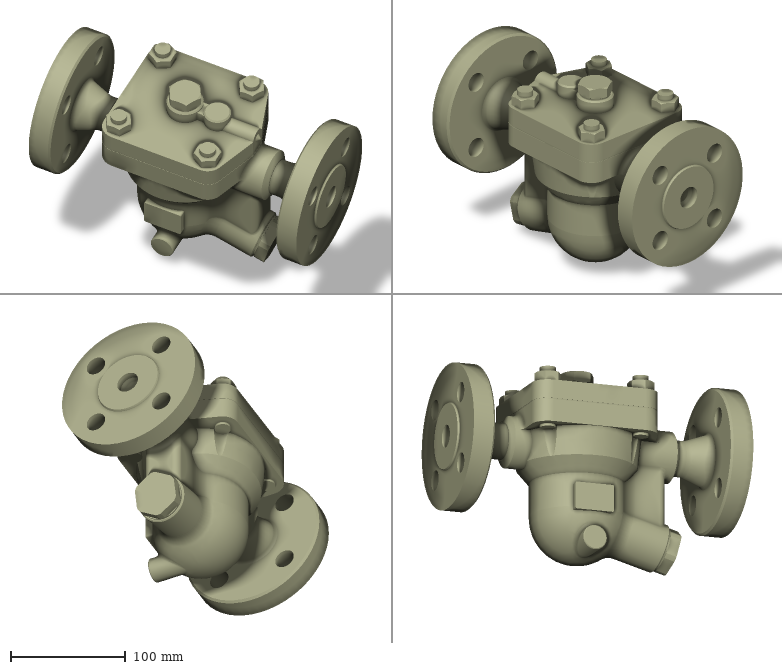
import cadquery as cq
import math


FLANGE_SPAN = 264.0
FLANGE_MID_X = 10.0
FLANGE_DIA = 130.0
FLANGE_THICKNESS = 20.3
FLANGE_EDGE_CHAMFER = 1.8
RAISED_FACE_DIA = 58.0
RAISED_FACE_FOOT_DIA = 60.0
RAISED_FACE_HEIGHT = 1.8
FLANGE_HOLE_DIA = 18.0
FLANGE_HOLE_CIRCLE = 90.0
BORE_DIA = 20.0
BORE_END_DIA = 15.0
BORE_DEPTH = 6.9
NECK_DIA = 32.0
NECK_HUB_LENGTH = 19.0
NECK_BLEND_LENGTH = 4.2
NECK_BLEND_RISE = 0.8
HUB_ROOT_FILLET = 2.5
HUB_ROOT_DIA = 45.5

BOSS_DIA = 46.0
BOSS_SPAN = 151.0
BOSS_CONE_LENGTH = 4.0
BOSS_CONE_END_DIA = 33.8
BOSS_FILLET = 4.0

BOLT_OFFSET = 43.3
CORNER_RADIUS = 14.5
COVER_RIGHT_X = 70.2
COVER_RIGHT_HALF_WIDTH = 8.7
COVER_TOP_Z = 44.0
GASKET_TOP_Z = 27.5
GASKET_THICKNESS = 1.0
GASKET_INSET = 0.3
BODY_FLANGE_BOTTOM_Z = 6.5

BEVEL_ANGLE = 30.0

STUD_DIA = 14.0
STUD_TOP_Z = 58.3
STUD_BOTTOM_Z = 4.2
NUT_FLATS = 21.0
NUT_HEIGHT = 9.2
STUD_CLEARANCE_DIA = 16.5

PLUG_BOSS_DIA = 32.5
PLUG_BOSS_TOP_Z = 56.0
PLUG_FLATS = 27.0
PLUG_GASKET_HEIGHT = 1.0
PLUG_TOP_Z = 67.0
VALVE_X = 31.5
VALVE_DIA = 24.0
VALVE_TOP_Z = 56.5
COVER_BOSS_CHAMFER = 1.3
BRIDGE_WIDTH = 13.5
BRIDGE_TOP_Z = 53.3
BRIDGE_FILLET = 5.0
CHANNEL_RADIUS = 8.7
CHANNEL_AXIS_Z = 41.5
CHANNEL_TIP_RADIUS = 3.7
CHANNEL_TIP_LENGTH = 3.7

BOWL_RADIUS = 42.0
BOWL_TOP_Z = -32.5
BOWL_CENTRE_Z = -62.5
SHOULDER_Z = -19.0
SHOULDER_RADIUS = 53.0
RIM_RADIUS = 56.5

PAD_WIDTH = 36.0
PAD_TOP_Z = -42.2
PAD_BOTTOM_Z = -66.5
PAD_FRONT_Y = -45.0
PAD_BACK_Y = -37.0
PAD_CORNER_RADIUS = 1.5
DRAIN_DIA = 22.0
DRAIN_Z = -91.0
DRAIN_FRONT_Y = -46.2
DRAIN_CHAMFER = 0.8
DRAIN_FILLET = 3.0

BRANCH_TILT = 15.0
BRANCH_DIA = 44.0
BRANCH_LENGTH = 79.7
BRANCH_END_CHAMFER = 1.0
BRANCH_BLEND_RADIUS = 16.0
CAP_GASKET_DIA = 40.0
CAP_GASKET_HEIGHT = 1.5
CAP_FLATS = 38.0
CAP_CORNER_DIA = 41.5
CAP_HEIGHT = 9.8

BLOCK_HALF_WIDTH = 17.0
BLOCK_RIGHT_X = 77.0
BLOCK_CORNER_RADIUS = 6.0
BLOCK_BLEND_RADIUS = 16.0
BLOCK_DEPTH_IN_BRANCH = 17.0
BLOCK_BOSS_FILLET = 5.0
BLOCK_BRANCH_FILLET = 2.0

EDGE_MARGIN = 0.3

BOLT_POINTS = [(sx * BOLT_OFFSET, sy * BOLT_OFFSET) for sx in (-1, 1) for sy in (-1, 1)]


def upright_cylinder(x, y, diameter, bottom_z, top_z):
    base = cq.Workplane("XY", origin=(x, y, bottom_z))
    return base.circle(diameter / 2).extrude(top_z - bottom_z)


def hexagon(flats, height):
    """Hexagonal prism on Z = 0 with two corners on the X axis."""
    return cq.Workplane("XY").polygon(6, flats / math.cos(math.pi / 6)).extrude(height)


def bevelled_hexagon(flats, height, bevel_bottom=False):
    """Hexagonal prism whose top, and if asked bottom, corners are turned off to a cone."""
    flat_radius = flats / 2
    corner_radius = flat_radius / math.cos(math.pi / 6)
    drop = (corner_radius - flat_radius) * math.tan(math.radians(BEVEL_ANGLE))
    foot_radius = flat_radius if bevel_bottom else corner_radius
    foot_z = drop if bevel_bottom else height / 2
    turned = (
        cq.Workplane("XZ")
        .lineTo(foot_radius, 0)
        .lineTo(corner_radius, foot_z)
        .lineTo(corner_radius, height - drop)
        .lineTo(flat_radius, height)
        .lineTo(0, height)
        .close()
        .revolve(360, (0, 0, 0), (0, 1, 0))
    )
    return hexagon(flats, height).intersect(turned)


def edges_in_box(shape, corner, opposite):
    return shape.edges(cq.selectors.BoxSelector(corner, opposite))



def pipe_end():
    """Flange and weld neck at the +X end, with X = 0 midway between the two flanges."""
    face_x = FLANGE_SPAN / 2
    front_x = face_x - RAISED_FACE_HEIGHT
    back_x = front_x - FLANGE_THICKNESS
    hub_end_x = back_x - NECK_HUB_LENGTH
    boss_end_x = BOSS_SPAN / 2
    neck_radius = NECK_DIA / 2
    hub_radius = HUB_ROOT_DIA / 2
    flange_radius = FLANGE_DIA / 2
    body = (
        cq.Workplane("XY")
        .moveTo(boss_end_x, 0)
        .lineTo(boss_end_x, neck_radius)
        .lineTo(hub_end_x - NECK_BLEND_LENGTH, neck_radius)
        .tangentArcPoint((hub_end_x, neck_radius + NECK_BLEND_RISE), relative=False)
        .lineTo(back_x - HUB_ROOT_FILLET, hub_radius)
        .tangentArcPoint((back_x, hub_radius + HUB_ROOT_FILLET), relative=False)
        .lineTo(back_x, flange_radius - FLANGE_EDGE_CHAMFER)
        .lineTo(back_x + FLANGE_EDGE_CHAMFER, flange_radius)
        .lineTo(front_x, flange_radius)
        .lineTo(front_x, RAISED_FACE_FOOT_DIA / 2)
        .lineTo(face_x, RAISED_FACE_DIA / 2)
        .lineTo(face_x, 0)
        .close()
        .revolve(360, (0, 0, 0), (1, 0, 0))
    )
    hole_pitch = FLANGE_HOLE_CIRCLE / math.sqrt(2)
    holes = (
        cq.Workplane("YZ", origin=(back_x, 0, 0))
        .rect(hole_pitch, hole_pitch, forConstruction=True)
        .vertices().circle(FLANGE_HOLE_DIA / 2).extrude(FLANGE_THICKNESS)
    )
    bore_cone_length = (BORE_DIA - BORE_END_DIA) / 2
    bore = (
        cq.Workplane("XY")
        .moveTo(face_x, 0)
        .lineTo(face_x, BORE_DIA / 2)
        .lineTo(face_x - BORE_DEPTH, BORE_DIA / 2)
        .lineTo(face_x - BORE_DEPTH - bore_cone_length, BORE_END_DIA / 2)
        .lineTo(face_x - BORE_DEPTH - bore_cone_length, 0)
        .close()
        .revolve(360, (0, 0, 0), (1, 0, 0))
    )
    return body.cut(holes).cut(bore)


def pipe_ends():
    right = pipe_end()
    return right.union(right.mirror("YZ")).translate((FLANGE_MID_X, 0, 0))


def pipe_boss():
    """Both pipe bosses as one bar through the body."""
    cylinder_end_x = BOSS_SPAN / 2
    tip_x = cylinder_end_x + BOSS_CONE_LENGTH
    return (
        cq.Workplane("XY")
        .moveTo(-tip_x, 0)
        .lineTo(-tip_x, BOSS_CONE_END_DIA / 2)
        .lineTo(-cylinder_end_x, BOSS_DIA / 2)
        .lineTo(cylinder_end_x, BOSS_DIA / 2)
        .lineTo(tip_x, BOSS_CONE_END_DIA / 2)
        .lineTo(tip_x, 0)
        .close()
        .revolve(360, (0, 0, 0), (1, 0, 0))
        .translate((FLANGE_MID_X, 0, 0))
    )



def flange_plate(bottom_z, top_z, inset=0.0):
    """Plate with round corners about the bolts and a side tapering to the right."""
    radius = CORNER_RADIUS - inset
    outer = BOLT_OFFSET + radius
    right_x = COVER_RIGHT_X - inset
    dx = COVER_RIGHT_X - BOLT_OFFSET
    dy = COVER_RIGHT_HALF_WIDTH - BOLT_OFFSET
    normal = math.atan2(dy, dx) + math.acos(CORNER_RADIUS / math.hypot(dx, dy))
    slant_x = BOLT_OFFSET + radius * math.cos(normal)
    slant_y = BOLT_OFFSET + radius * math.sin(normal)
    middle = (normal + math.pi / 2) / 2
    arc_x = BOLT_OFFSET + radius * math.cos(middle)
    arc_y = BOLT_OFFSET + radius * math.sin(middle)
    right_y = slant_y - (right_x - slant_x) / math.tan(normal)
    diagonal = BOLT_OFFSET + radius * math.sqrt(0.5)
    return (
        cq.Workplane("XY", origin=(0, 0, bottom_z))
        .moveTo(-BOLT_OFFSET, -outer)
        .lineTo(BOLT_OFFSET, -outer)
        .threePointArc((arc_x, -arc_y), (slant_x, -slant_y))
        .lineTo(right_x, -right_y)
        .lineTo(right_x, right_y)
        .lineTo(slant_x, slant_y)
        .threePointArc((arc_x, arc_y), (BOLT_OFFSET, outer))
        .lineTo(-BOLT_OFFSET, outer)
        .threePointArc((-diagonal, diagonal), (-outer, BOLT_OFFSET))
        .lineTo(-outer, -BOLT_OFFSET)
        .threePointArc((-diagonal, -diagonal), (-BOLT_OFFSET, -outer))
        .close()
        .extrude(top_z - bottom_z)
    )


def studs_and_nuts():
    parts = cq.Workplane("XY")
    nut = bevelled_hexagon(NUT_FLATS, NUT_HEIGHT)
    for x, y in BOLT_POINTS:
        turn = 90 if x * y < 0 else 0
        parts = parts.union(nut.rotate((0, 0, 0), (0, 0, 1), turn).translate((x, y, COVER_TOP_Z)))
        parts = parts.union(upright_cylinder(x, y, STUD_DIA, STUD_BOTTOM_Z, STUD_TOP_Z))
    return parts


def cover_boss(x, diameter, top_z):
    boss = upright_cylinder(x, 0, diameter, COVER_TOP_Z, top_z)
    return boss.faces(">Z").edges().chamfer(COVER_BOSS_CHAMFER)


def vent_plug():
    gasket_top_z = PLUG_BOSS_TOP_Z + PLUG_GASKET_HEIGHT
    gasket = upright_cylinder(0, 0, PLUG_FLATS, PLUG_BOSS_TOP_Z, gasket_top_z)
    head = bevelled_hexagon(PLUG_FLATS, PLUG_TOP_Z - gasket_top_z, bevel_bottom=True)
    return gasket.union(head.translate((0, 0, gasket_top_z)))


def valve_and_bridge():
    """Valve boss with a low bridge to the plug boss, filleted where the two meet."""
    bridge = (
        cq.Workplane("XY")
        .box(VALVE_X, BRIDGE_WIDTH, BRIDGE_TOP_Z - COVER_TOP_Z, centered=(False, True, False))
        .translate((0, 0, COVER_TOP_Z))
    )
    joined = bridge.union(cover_boss(VALVE_X, VALVE_DIA, VALVE_TOP_Z))
    corners = edges_in_box(
        joined,
        (EDGE_MARGIN, -BRIDGE_WIDTH, COVER_TOP_Z + EDGE_MARGIN),
        (VALVE_X, BRIDGE_WIDTH, BRIDGE_TOP_Z - EDGE_MARGIN),
    ).edges("|Z")
    return corners.fillet(BRIDGE_FILLET)


def valve_channel():
    """Channel from the valve to the right side of the cover, with a small end cone."""
    channel = (
        cq.Workplane("YZ", origin=(VALVE_X, 0, CHANNEL_AXIS_Z))
        .circle(CHANNEL_RADIUS).extrude(COVER_RIGHT_X - VALVE_X)
    )
    tip = cq.Solid.makeCone(
        CHANNEL_TIP_RADIUS, 0, CHANNEL_TIP_LENGTH,
        cq.Vector(COVER_RIGHT_X, 0, CHANNEL_AXIS_Z), cq.Vector(1, 0, 0),
    )
    return channel.union(cq.Workplane(tip))



def bowl():
    """Round bowl with a flared rim that is cut back around the stud ends."""
    shell = (
        cq.Workplane("XZ")
        .moveTo(0, BODY_FLANGE_BOTTOM_Z)
        .lineTo(RIM_RADIUS, BODY_FLANGE_BOTTOM_Z)
        .lineTo(SHOULDER_RADIUS, SHOULDER_Z)
        .lineTo(BOWL_RADIUS, BOWL_TOP_Z)
        .lineTo(BOWL_RADIUS, BOWL_CENTRE_Z)
        .radiusArc((0, BOWL_CENTRE_Z - BOWL_RADIUS), BOWL_RADIUS)
        .close()
        .revolve(360, (0, 0, 0), (0, 1, 0))
    )
    for x, y in BOLT_POINTS:
        shell = shell.cut(upright_cylinder(x, y, STUD_CLEARANCE_DIA, BOWL_TOP_Z, BODY_FLANGE_BOTTOM_Z))
    return shell


def name_plate_pad():
    height = PAD_TOP_Z - PAD_BOTTOM_Z
    return (
        cq.Workplane("XY")
        .box(PAD_WIDTH, PAD_BACK_Y - PAD_FRONT_Y, height)
        .edges("|Y").fillet(PAD_CORNER_RADIUS)
        .translate((0, (PAD_BACK_Y + PAD_FRONT_Y) / 2, PAD_BOTTOM_Z + height / 2))
    )


def drain_boss():
    return (
        cq.Workplane("XZ", origin=(0, 0, DRAIN_Z))
        .circle(DRAIN_DIA / 2).extrude(-DRAIN_FRONT_Y)
        .faces("<Y").edges().chamfer(DRAIN_CHAMFER)
    )



def tilt_onto_branch(shape):
    """Move a shape built along +X at the origin onto the branch axis."""
    return shape.rotate((0, 0, 0), (0, 1, 0), BRANCH_TILT).translate((0, 0, BOWL_CENTRE_Z))


def branch():
    """Branch barrel that flows into the round bowl bottom through a concave blend."""
    radius = BRANCH_DIA / 2
    blend = BRANCH_BLEND_RADIUS
    barrel_start = math.sqrt((BOWL_RADIUS + blend) ** 2 - (radius + blend) ** 2)
    bowl_angle = math.atan2(radius + blend, barrel_start)
    contact = (BOWL_RADIUS * math.cos(bowl_angle), BOWL_RADIUS * math.sin(bowl_angle))
    barrel = (
        cq.Workplane("XY")
        .lineTo(*contact)
        .radiusArc((barrel_start, radius), -blend)
        .lineTo(BRANCH_LENGTH - BRANCH_END_CHAMFER, radius)
        .lineTo(BRANCH_LENGTH, radius - BRANCH_END_CHAMFER)
        .lineTo(BRANCH_LENGTH, 0)
        .close()
        .revolve(360, (0, 0, 0), (1, 0, 0))
    )
    return tilt_onto_branch(barrel)


def branch_cap():
    gasket = (
        cq.Workplane("YZ", origin=(BRANCH_LENGTH, 0, 0))
        .circle(CAP_GASKET_DIA / 2).extrude(CAP_GASKET_HEIGHT)
    )
    turned = cq.Workplane("XY").circle(CAP_CORNER_DIA / 2).extrude(CAP_HEIGHT)
    head = hexagon(CAP_FLATS, CAP_HEIGHT).intersect(turned)
    head = head.rotate((0, 0, 0), (0, 1, 0), 90)
    head = head.translate((BRANCH_LENGTH + CAP_GASKET_HEIGHT, 0, 0))
    return tilt_onto_branch(gasket.union(head))


def passage_block():
    """Upright block blended into the bowl wall, standing on the branch."""
    blend = BLOCK_BLEND_RADIUS
    blend_centre_y = BLOCK_HALF_WIDTH + blend
    flat_start_x = math.sqrt((BOWL_RADIUS + blend) ** 2 - blend_centre_y ** 2)
    share = BOWL_RADIUS / (BOWL_RADIUS + blend)
    wall_x = flat_start_x * share
    wall_y = blend_centre_y * share
    corner = BLOCK_CORNER_RADIUS
    block = (
        cq.Workplane("XY")
        .moveTo(wall_x, -wall_y)
        .radiusArc((flat_start_x, -BLOCK_HALF_WIDTH), blend)
        .lineTo(BLOCK_RIGHT_X - corner, -BLOCK_HALF_WIDTH)
        .radiusArc((BLOCK_RIGHT_X, -BLOCK_HALF_WIDTH + corner), -corner)
        .lineTo(BLOCK_RIGHT_X, BLOCK_HALF_WIDTH - corner)
        .radiusArc((BLOCK_RIGHT_X - corner, BLOCK_HALF_WIDTH), -corner)
        .lineTo(flat_start_x, BLOCK_HALF_WIDTH)
        .radiusArc((wall_x, wall_y), blend)
        .lineTo(0, wall_y)
        .lineTo(0, -wall_y)
        .close()
        .extrude(2 * BOWL_CENTRE_Z)
    )
    slope = math.tan(math.radians(BRANCH_TILT))
    foot_z = BOWL_CENTRE_Z + BRANCH_DIA / 2 - BLOCK_DEPTH_IN_BRANCH
    side = (
        cq.Workplane("XZ")
        .lineTo(0, foot_z)
        .lineTo(BLOCK_RIGHT_X, foot_z - BLOCK_RIGHT_X * slope)
        .lineTo(BLOCK_RIGHT_X, 0)
        .close()
        .extrude(BOWL_RADIUS, both=True)
    )
    return block.intersect(side)


def block_head():
    """Straight upper part of the block, filleted into the pipe boss above it."""
    start_x = BOWL_RADIUS / 2
    length = BLOCK_RIGHT_X - start_x
    block = (
        cq.Workplane("XY")
        .box(length, 2 * BLOCK_HALF_WIDTH, -BOWL_TOP_Z, centered=(False, True, False))
        .edges("|Z and >X").fillet(BLOCK_CORNER_RADIUS)
        .translate((start_x, 0, BOWL_TOP_Z))
    )
    head = block.union(pipe_boss())
    boss_radius = BOSS_DIA / 2
    rim = edges_in_box(
        head,
        (start_x + EDGE_MARGIN, -boss_radius, -boss_radius - EDGE_MARGIN),
        (BLOCK_RIGHT_X + EDGE_MARGIN, boss_radius, -boss_radius / 2),
    )
    return rim.fillet(BLOCK_BOSS_FILLET)


def branch_with_block():
    """Branch with the block filleted onto the top of its barrel."""
    joined = branch().union(passage_block())
    slope = math.tan(math.radians(BRANCH_TILT))
    rim = edges_in_box(
        joined,
        (BOWL_RADIUS + BLOCK_CORNER_RADIUS, -BRANCH_DIA / 2, BOWL_CENTRE_Z - BOWL_RADIUS * slope),
        (BLOCK_RIGHT_X + EDGE_MARGIN, BRANCH_DIA / 2, BOWL_CENTRE_Z + EDGE_MARGIN),
    )
    return rim.fillet(BLOCK_BRANCH_FILLET)



def flange_with_pipe_boss(top_z):
    """Body flange with the pipe boss filleted into its left and right sides."""
    joined = flange_plate(BODY_FLANGE_BOTTOM_Z, top_z).union(pipe_boss())
    left_x = -BOLT_OFFSET - CORNER_RADIUS
    side_ranges = [
        (left_x - EDGE_MARGIN, left_x + EDGE_MARGIN),
        (COVER_RIGHT_X - CORNER_RADIUS, COVER_RIGHT_X + EDGE_MARGIN),
    ]
    for start_x, end_x in side_ranges:
        joined = edges_in_box(
            joined,
            (start_x, -BOSS_DIA / 2, BODY_FLANGE_BOTTOM_Z + EDGE_MARGIN),
            (end_x, BOSS_DIA / 2, BOSS_DIA / 2),
        ).fillet(BOSS_FILLET)
    return joined


def bowl_with_drain():
    """Bowl with the drain boss filleted into its round bottom."""
    joined = bowl().union(drain_boss())
    radius = DRAIN_DIA / 2
    rim = edges_in_box(
        joined,
        (-radius, -BOWL_RADIUS + radius, DRAIN_Z - radius),
        (radius, -radius, DRAIN_Z + radius),
    )
    return rim.fillet(DRAIN_FILLET)


gasket_bottom_z = GASKET_TOP_Z - GASKET_THICKNESS
result = (
    flange_with_pipe_boss(gasket_bottom_z)
    .union(bowl_with_drain())
    .union(block_head())
    .union(branch_with_block())
    .union(name_plate_pad())
    .union(flange_plate(gasket_bottom_z, GASKET_TOP_Z, GASKET_INSET))
    .union(flange_plate(GASKET_TOP_Z, COVER_TOP_Z))
    .union(cover_boss(0, PLUG_BOSS_DIA, PLUG_BOSS_TOP_Z))
    .union(valve_and_bridge())
    .union(valve_channel())
    .union(vent_plug())
    .union(studs_and_nuts())
    .union(branch_cap())
    .union(pipe_ends())
)